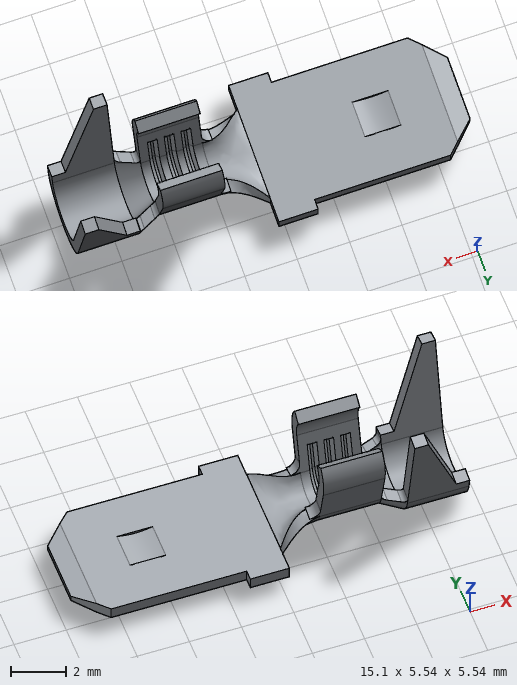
import cadquery as cq
import math


thickness = 0.5
overall_length = 15.11
overall_height = 5.54

tab_width = 4.76
shoulder_width = 5.54
shoulder_start = 6.33
tab_end = 7.83
tip_corner = 1.14
tip_bevel_length = 0.73
tip_bevel_drop = 0.13

dimple_start = 2.46
dimple_length = 1.37
dimple_width = 1.40
dimple_depth = 0.10

wire_start = 9.52
wire_end = 11.88
wire_bottom = 0.0
wire_radius = 1.30
wire_lean = 13.4
wire_straight = 1.74
curl_radius = 1.50
curl_sweep = 50.4

serration_count = 3
serration_pitch = 0.64
serration_mouth = 0.37
serration_floor = 0.10
serration_depth = 0.13
serration_reach = 1.18

insulation_start = 12.75
insulation_bottom = -0.5
insulation_radius = 1.68
insulation_lean = 11.0
claw_tip_length = 0.52
claw_heel_height = 0.44

strip_half_width = 1.83
front_neck_ease = 1.5
front_neck_pinch = 0.16
gusset_rise = 0.45
gusset_run = 0.38
rear_neck_wall = 0.30
rear_neck_corner = 0.20
rear_neck_margin = 0.5

insulation_top = insulation_bottom + overall_height
insulation_center = insulation_bottom + insulation_radius
wire_center = wire_bottom + wire_radius
quarter_arc_inset = 1 - math.sqrt(0.5)


def polar(radius, degrees, along=0.0):
    """Point (y, z) at a bend angle measured up from straight down, moved along the tangent."""
    a = math.radians(degrees)
    y = radius * math.sin(a) + along * math.cos(a)
    z = -radius * math.cos(a) + along * math.sin(a)
    return y, z


def trough_wire(x, bottom, radius, sweep, straight=0.0):
    """Closed U-shaped strip section in the plane X = x, with short straight ends."""
    inner = radius - thickness

    def point(r, degrees, along=0.0):
        y, z = polar(r, abs(degrees), along)
        return math.copysign(y, degrees), z + bottom + radius

    outline = cq.Workplane("YZ", origin=(x, 0, 0)).moveTo(*point(radius, -sweep))
    outline = outline.threePointArc(point(radius, 0), point(radius, sweep))
    if straight > 0:
        outline = outline.lineTo(*point(radius, sweep, straight))
    outline = outline.lineTo(*point(inner, sweep, straight))
    if straight > 0:
        outline = outline.lineTo(*point(inner, sweep))
    outline = outline.threePointArc(point(inner, 0), point(inner, -sweep))
    if straight > 0:
        outline = outline.lineTo(*point(inner, -sweep, straight))
        outline = outline.lineTo(*point(radius, -sweep, straight))
    return outline.close()


def wing_plane(center_z, radius, lean):
    """Plane on the outside of the +Y wing: local x is X, local y climbs the wing, normal points inward."""
    a = math.radians(lean)
    origin = (0, radius * math.cos(a), center_z - radius * math.sin(a))
    return cq.Workplane(cq.Plane(origin=origin, xDir=(1, 0, 0), normal=(0, -math.cos(a), math.sin(a))))


def both_sides(body):
    """The body together with its mirror image across the plane Y = 0."""
    return body.union(body.mirror("XZ"))


def make_tab():
    """Flat blade with a bevelled, corner-cut tip and wider shoulders at the rear."""
    tab = cq.Workplane("XY").box(tab_end, tab_width, thickness, centered=(False, True, False))
    tab = tab.edges("|Z and <X").chamfer(tip_corner)
    tip_half = thickness / 2 - tip_bevel_drop
    side_profile = (
        cq.Workplane("XZ", origin=(0, 0, thickness / 2))
        .moveTo(0, -tip_half)
        .lineTo(tip_bevel_length, -thickness / 2)
        .lineTo(tab_end, -thickness / 2)
        .lineTo(tab_end, thickness / 2)
        .lineTo(tip_bevel_length, thickness / 2)
        .lineTo(0, tip_half)
        .close()
        .extrude(tab_width / 2, both=True)
    )
    shoulders = cq.Workplane("XY", origin=(shoulder_start, 0, 0)).box(
        tab_end - shoulder_start, shoulder_width, thickness, centered=(False, True, False)
    )
    return tab.intersect(side_profile).union(shoulders)


def make_dimple():
    """Shallow cylindrical hollow, its axis along Y."""
    dimple_end = dimple_start + dimple_length
    middle = dimple_start + dimple_length / 2
    return (
        cq.Workplane("XZ")
        .moveTo(dimple_start, thickness)
        .threePointArc((middle, thickness - dimple_depth), (dimple_end, thickness))
        .close()
        .extrude(dimple_width / 2, both=True)
    )


def make_front_neck():
    """Strip rolling up from the almost flat tab end to the wire crimp section, narrowest part way."""
    full_sweep = 90 - wire_lean
    section_count = 5
    flat_sweep = 2.0
    length = wire_start - tab_end
    outer_half_arc = wire_radius * math.radians(full_sweep)
    sections = []
    for i in range(section_count):
        fraction = i / (section_count - 1)
        eased = 1 - (1 - fraction) ** front_neck_ease
        sweep = flat_sweep + (full_sweep - flat_sweep) * eased
        half_arc = strip_half_width + (outer_half_arc - strip_half_width) * eased
        half_arc -= front_neck_pinch * math.sin(fraction * math.pi)
        radius = half_arc / math.radians(sweep)
        sections.append(trough_wire(tab_end + fraction * length, wire_bottom, radius, sweep).val())
    return cq.Workplane(cq.Solid.makeLoft(sections))


def make_front_gussets():
    """Concave webs where the front neck runs up into the wire crimp wings."""
    arc_middle = (wire_start - quarter_arc_inset * gusset_run, quarter_arc_inset * gusset_rise)
    gusset = (
        wing_plane(wire_center, wire_radius, wire_lean)
        .moveTo(wire_start - gusset_run, 0)
        .lineTo(wire_start, 0)
        .lineTo(wire_start, gusset_rise)
        .threePointArc(arc_middle, (wire_start - gusset_run, 0))
        .close()
        .extrude(thickness)
    )
    return both_sides(gusset)


def make_wire_crimp():
    """U-shaped barrel whose wings curl inward at the top."""
    length = wire_end - wire_start
    sweep = 90 - wire_lean
    curl_y, curl_z = polar(wire_radius - curl_radius, sweep, wire_straight)

    def trough(radius, degrees):
        y, z = polar(radius, degrees)
        return y, z + wire_center

    def curl(radius, turn):
        y, z = polar(radius, sweep + turn)
        return curl_y + y, curl_z + z + wire_center

    inner = wire_radius - thickness
    curl_inner = curl_radius - thickness
    half = (
        cq.Workplane("YZ", origin=(wire_start, 0, 0))
        .moveTo(*trough(wire_radius, 0))
        .threePointArc(trough(wire_radius, sweep / 2), trough(wire_radius, sweep))
        .lineTo(*curl(curl_radius, 0))
        .threePointArc(curl(curl_radius, curl_sweep / 2), curl(curl_radius, curl_sweep))
        .lineTo(*curl(curl_inner, curl_sweep))
        .threePointArc(curl(curl_inner, curl_sweep / 2), curl(curl_inner, 0))
        .lineTo(*trough(inner, sweep))
        .threePointArc(trough(inner, sweep / 2), trough(inner, 0))
        .close()
        .extrude(length)
    )
    return both_sides(half)


def make_serration(x):
    """Tapered groove round the inside of the wire crimp, running part way up both wings."""
    surface = wire_radius - thickness
    floor = surface + serration_depth
    sweep = 90 - wire_lean
    profile = [
        (x - serration_mouth / 2, surface),
        (x - serration_floor / 2, floor),
        (x + serration_floor / 2, floor),
        (x + serration_mouth / 2, surface),
    ]
    ring = (
        cq.Workplane("XZ", origin=(0, 0, wire_center))
        .polyline([(along, -radius) for along, radius in profile])
        .close()
        .revolve(sweep, (0, 0), (1, 0))
    )
    lean = math.radians(wire_lean)
    wing_section = cq.Plane(
        origin=(0, 0, wire_center), xDir=(1, 0, 0), normal=(0, math.sin(lean), math.cos(lean))
    )
    wing = (
        cq.Workplane(wing_section)
        .polyline([(along, radius) for along, radius in profile])
        .close()
        .extrude(serration_reach)
    )
    return both_sides(ring.union(wing))


def make_rear_neck():
    """Flared trough between the crimps, its walls cut down by a round-cornered notch."""
    front = trough_wire(wire_end, wire_bottom, wire_radius, 90 - wire_lean, rear_neck_wall)
    rear = trough_wire(
        insulation_start, insulation_bottom, insulation_radius, 90 - insulation_lean, rear_neck_wall
    )
    neck = cq.Workplane(cq.Solid.makeLoft([front.val(), rear.val()], True))
    notch_height = rear_neck_wall + rear_neck_margin
    arc_inset = rear_neck_corner * quarter_arc_inset
    notch = (
        wing_plane(wire_center, wire_radius + rear_neck_margin, wire_lean)
        .moveTo(wire_end, notch_height)
        .lineTo(wire_end, rear_neck_corner)
        .threePointArc((wire_end + arc_inset, arc_inset), (wire_end + rear_neck_corner, 0))
        .lineTo(insulation_start - rear_neck_corner, 0)
        .threePointArc((insulation_start - arc_inset, arc_inset), (insulation_start, rear_neck_corner))
        .lineTo(insulation_start, notch_height)
        .close()
        .extrude(thickness + 2 * rear_neck_margin)
    )
    return neck.cut(both_sides(notch))


def make_insulation_crimp():
    """Wide barrel with two tapered claws, one at each end of the barrel."""
    lean = math.radians(insulation_lean)
    inner = insulation_radius - thickness
    claw_foot = insulation_center - inner * math.sin(lean)
    claw_height = (insulation_top - claw_foot) / math.cos(lean)
    length = overall_length - insulation_start
    sweep = 90 - insulation_lean
    barrel = trough_wire(insulation_start, insulation_bottom, insulation_radius, sweep).extrude(length)

    def claw(tip_end, heel_end):
        """Claw on the +Y wing, full height at one barrel end and a low heel at the other."""
        direction = math.copysign(1, heel_end - tip_end)
        return (
            wing_plane(insulation_center, insulation_radius, insulation_lean)
            .moveTo(tip_end, 0)
            .lineTo(tip_end, claw_height)
            .lineTo(tip_end + direction * claw_tip_length, claw_height)
            .lineTo(heel_end - direction * claw_tip_length, claw_heel_height)
            .lineTo(heel_end, claw_heel_height)
            .lineTo(heel_end, 0)
            .close()
            .extrude(thickness)
        )

    rear_claw = claw(overall_length, insulation_start)
    front_claw = claw(insulation_start, overall_length).mirror("XZ")
    return barrel.union(rear_claw).union(front_claw)


result = make_tab().cut(make_dimple())
result = result.union(make_front_neck())
result = result.union(make_wire_crimp())
result = result.union(make_front_gussets())
result = result.union(make_rear_neck())
result = result.union(make_insulation_crimp())

wire_middle = (wire_start + wire_end) / 2
for index in range(serration_count):
    offset = (index - (serration_count - 1) / 2) * serration_pitch
    result = result.cut(make_serration(wire_middle + offset))